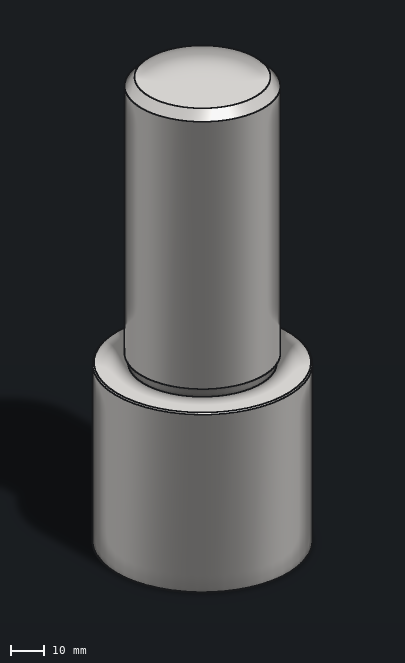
import cadquery as cq

total_height = 155.0
head_diameter = 65.0
head_height = 60.0
head_edge_chamfer = 0.5
shank_diameter = 46.0
shank_tip_chamfer = 3.0
relief_diameter = 44.0
relief_height = 3.1


def cylinder(diameter, bottom, top):
    """Solid cylinder on the Z axis between two heights."""
    return cq.Workplane("XY").workplane(offset=bottom).circle(diameter / 2).extrude(top - bottom)


head = cylinder(head_diameter, 0, head_height).edges().chamfer(head_edge_chamfer)

shank_bottom = head_height + relief_height
relief = cylinder(relief_diameter, head_height, shank_bottom)

shank = cylinder(shank_diameter, shank_bottom, total_height)
shank = shank.faces(">Z").chamfer(shank_tip_chamfer)

result = head.union(relief).union(shank)